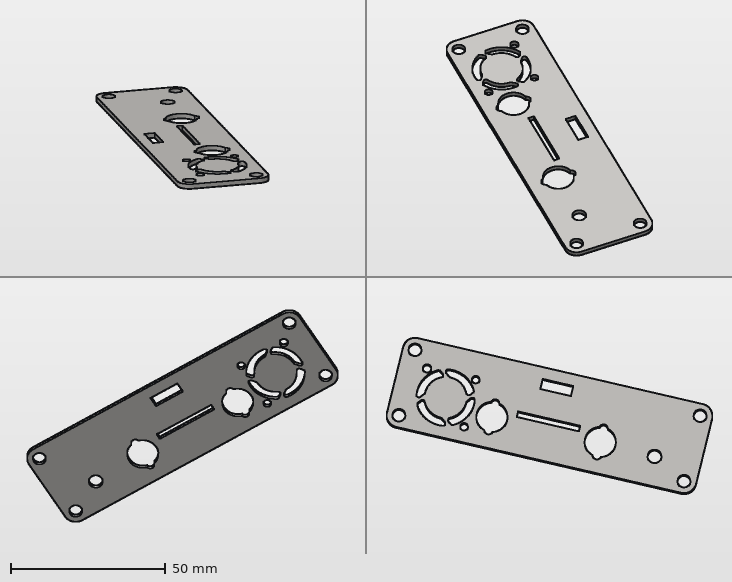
import cadquery as cq
import math

PLATE_LENGTH = 103.0
PLATE_WIDTH = 30.5
PLATE_THICKNESS = 1.66
CORNER_RADIUS = 4.0

MOUNT_HOLE_DIAMETER = 4.19
MOUNT_HOLE_INSET = CORNER_RADIUS

GROUND_HOLE_DIAMETER = 4.5
GROUND_HOLE_CENTER = (-36.3, 5.4)

CONNECTOR_DIAMETER = 10.1
CONNECTOR_CENTERS = [(-18.05, 4.8), (18.05, 4.8)]
RELIEF_DIAMETER = 2.75
RELIEF_OFFSET = 4.6

EXPANSION_CENTER = (-0.1, 2.0)
EXPANSION_SIZE = (20.7, 1.9)
DATA_PORT_CENTER = (-0.1, -9.65)
DATA_PORT_SIZE = (10.2, 3.45)

FAN_CENTER = (34.15, 2.0)
VENT_INNER_RADIUS = 6.9
VENT_OUTER_RADIUS = 9.5
VENT_CORNER_RADIUS = 0.8
SPOKE_COUNT = 4
SPOKE_WIDTH = 1.0
SPOKE_LENGTH = 6.0
SPOKE_ANGLE = 16.5
SPOKE_SLANT = 36.0

FAN_SCREW_OFFSET = 8.1
FAN_SCREWS = [(-1, 1, 2.5), (-1, -1, 2.5), (1, -1, 2.75)]


def through_cylinder(diameter, center):
    """Cutter for a round hole through the plate."""
    return cq.Workplane("XY").center(*center).circle(diameter / 2).extrude(PLATE_THICKNESS)


def through_box(size, center):
    """Cutter for a rectangular opening through the plate."""
    return cq.Workplane("XY").center(*center).rect(*size).extrude(PLATE_THICKNESS)


def connector_opening(center):
    """Cutter for a round connector hole with its two reliefs."""
    x, y = center
    opening = through_cylinder(CONNECTOR_DIAMETER, center)
    for side in (-1, 1):
        opening = opening.union(through_cylinder(RELIEF_DIAMETER, (x, y + side * RELIEF_OFFSET)))
    return opening


def grille_spoke(angle):
    """Straight bar crossing the vent ring, slanted from the radial direction at the given angle."""
    mid_radius = (VENT_INNER_RADIUS + VENT_OUTER_RADIUS) / 2
    turn = math.radians(angle)
    return (
        cq.Workplane("XY")
        .rect(SPOKE_LENGTH, SPOKE_WIDTH)
        .extrude(PLATE_THICKNESS)
        .rotate((0, 0, 0), (0, 0, 1), angle + SPOKE_SLANT)
        .translate((mid_radius * math.cos(turn), mid_radius * math.sin(turn), 0))
    )


def fan_vents():
    """Cutter for the curved vents: a ring split by the spokes, with rounded corners."""
    vents = cq.Workplane("XY").circle(VENT_OUTER_RADIUS).circle(VENT_INNER_RADIUS).extrude(PLATE_THICKNESS)
    for index in range(SPOKE_COUNT):
        vents = vents.cut(grille_spoke(SPOKE_ANGLE + index * 360 / SPOKE_COUNT))
    vents = vents.edges("|Z").fillet(VENT_CORNER_RADIUS)
    return vents.translate((*FAN_CENTER, 0))


def plate():
    """Flat plate with rounded corners and the four mounting holes."""
    body = cq.Workplane("XY").rect(PLATE_LENGTH, PLATE_WIDTH).extrude(PLATE_THICKNESS)
    body = body.edges("|Z").fillet(CORNER_RADIUS)
    for x_side in (-1, 1):
        for y_side in (-1, 1):
            x = x_side * (PLATE_LENGTH / 2 - MOUNT_HOLE_INSET)
            y = y_side * (PLATE_WIDTH / 2 - MOUNT_HOLE_INSET)
            body = body.cut(through_cylinder(MOUNT_HOLE_DIAMETER, (x, y)))
    return body


def cut_ports(body):
    """Ground hole, connector openings and rectangular openings."""
    body = body.cut(through_cylinder(GROUND_HOLE_DIAMETER, GROUND_HOLE_CENTER))
    for center in CONNECTOR_CENTERS:
        body = body.cut(connector_opening(center))
    body = body.cut(through_box(EXPANSION_SIZE, EXPANSION_CENTER))
    return body.cut(through_box(DATA_PORT_SIZE, DATA_PORT_CENTER))


def cut_fan_grille(body):
    """Curved vents and fan screw holes."""
    body = body.cut(fan_vents())
    for x_side, y_side, diameter in FAN_SCREWS:
        x = FAN_CENTER[0] + x_side * FAN_SCREW_OFFSET
        y = FAN_CENTER[1] + y_side * FAN_SCREW_OFFSET
        body = body.cut(through_cylinder(diameter, (x, y)))
    return body


result = cut_fan_grille(cut_ports(plate()))